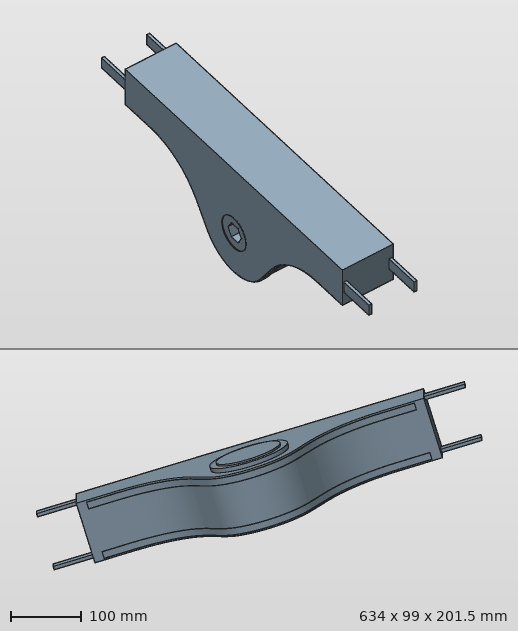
import cadquery as cq
import math

beam_length = 515.0
beam_height = 69.0
housing_width = 90.0
hub_drop = 124.0
hub_radius = 75.5
fillet_radius = 128.0
fillet_center_x = 196.0

band_thickness = 2.0
band_width = 10.0
band_inset = 2.5
band_length = 485.5

overall_length = 634.0
bar_height = 19.5
bar_thickness = 5.0
bar_inset = 2.5
bar_drop = 25.0

cap_radius = 58.0
cap_thickness = 6.5
cap_step_radius = 47.5
cap_step_thickness = 2.5

bolt_radius = 28.5
bolt_recess = 1.6
hex_across_flats = 27.0
hex_depth = 18.0
hex_across_corners = hex_across_flats / math.cos(math.pi / 6)

front_y = -housing_width / 2
back_y = housing_width / 2


def extrude_back(sketch_plane_y, depth, outline):
    """Extrude an XZ outline from the given Y position toward the back."""
    plane = cq.Workplane("XZ", origin=(0, sketch_plane_y, 0))
    return outline(plane).extrude(-depth)


def hub_outline(length, offset):
    """Return a function that draws the housing outline grown by offset on its underside."""
    convex = hub_radius + offset
    concave = fillet_radius - offset
    underside_z = -beam_height - offset
    fillet_z = -beam_height - fillet_radius

    rise = fillet_z + hub_drop
    center_distance = math.hypot(fillet_center_x, rise)
    hub_angle = math.atan2(rise, fillet_center_x) - math.acos((convex + concave) / center_distance)
    sweep_angle = math.pi + hub_angle

    def hub_point(angle):
        return (convex * math.cos(angle), -hub_drop + convex * math.sin(angle))

    def sweep_point(angle):
        return (fillet_center_x + concave * math.cos(angle), fillet_z + concave * math.sin(angle))

    hub_end = hub_point(hub_angle)
    hub_bottom = (0, -hub_drop - convex)
    sweep_start = sweep_point(sweep_angle)
    sweep_middle = sweep_point((sweep_angle + math.pi / 2) / 2)
    sweep_end = (fillet_center_x, underside_z)

    def mirrored(point):
        return (-point[0], point[1])

    def draw(plane):
        return (
            plane.moveTo(-length / 2, 0)
            .lineTo(length / 2, 0)
            .lineTo(length / 2, underside_z)
            .lineTo(*sweep_end)
            .threePointArc(sweep_middle, sweep_start)
            .lineTo(*hub_end)
            .threePointArc(hub_bottom, mirrored(hub_end))
            .lineTo(*mirrored(sweep_start))
            .threePointArc(mirrored(sweep_middle), mirrored(sweep_end))
            .lineTo(-length / 2, underside_z)
            .close()
        )

    return draw


def disk(radius, start_y, thickness):
    return extrude_back(start_y, thickness, lambda plane: plane.center(0, -hub_drop).circle(radius))


def bar(start_y):
    corner = (0, start_y, -bar_drop - bar_height)
    blank = cq.Workplane("XY").box(
        overall_length, bar_thickness, bar_height, centered=(True, False, False)
    )
    return blank.translate(corner)


result = extrude_back(front_y, housing_width, hub_outline(beam_length, 0))

for start_y in (front_y + band_inset, back_y - band_inset - band_width):
    result = result.union(extrude_back(start_y, band_width, hub_outline(band_length, band_thickness)))

for start_y in (front_y + bar_inset, back_y - bar_inset - bar_thickness):
    result = result.union(bar(start_y))

result = result.union(disk(cap_radius, back_y, cap_thickness))
result = result.union(disk(cap_step_radius, back_y + cap_thickness, cap_step_thickness))

hex_socket = extrude_back(
    front_y,
    bolt_recess + hex_depth,
    lambda plane: plane.center(0, -hub_drop).polygon(6, hex_across_corners),
)
result = result.cut(disk(bolt_radius, front_y, bolt_recess)).cut(hex_socket)